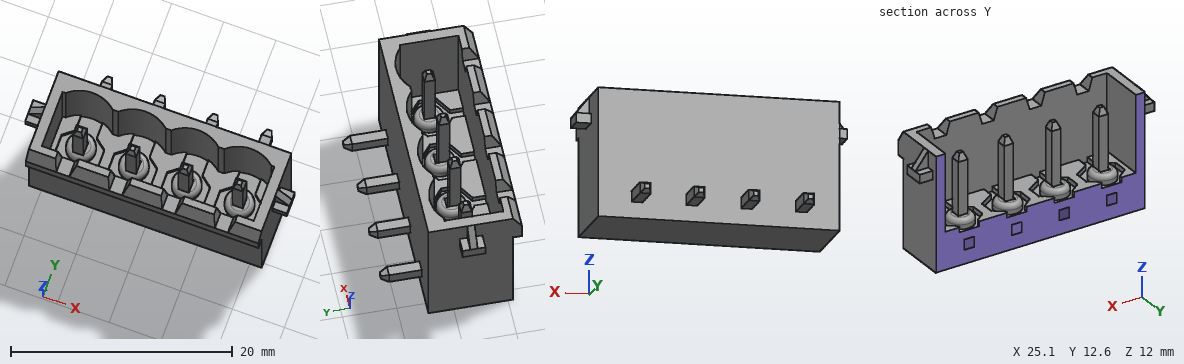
import cadquery as cq


overall_length = 25.12
body_length = 22.35
body_depth = 7.79
body_height = 12.0

lip_reach = 0.83
lip_height = 2.8
lip_bevel_height = 1.28

pin_count = 4
pin_pitch = 5.07
pin_y = -3.85
pin_x_places = [(i - (pin_count - 1) / 2) * pin_pitch for i in range(pin_count)]

side_wall = 1.0
front_wall = 0.68
rear_wall = 1.7
cavity_depth = 8.05
cavity_floor_z = body_height - cavity_depth
cavity_front_y = front_wall - body_depth
scallop_width = 4.52
scallop_rise = 0.85

recess_depth = 0.5
recess_floor_z = cavity_floor_z - recess_depth
recess_half_width = 2.05
recess_rear_half_width = 1.03
recess_front_half_width = 0.45
recess_rear_neck_y = -2.54
recess_rear_shoulder_y = -3.35
recess_front_shoulder_y = -4.9
recess_front_neck_y = -5.9

boss_diameter = 2.75
boss_height = 1.0
boss_round = 0.5

notch_top_width = 2.0
notch_floor_width = 1.23
notch_depth = lip_bevel_height

tab_reach = (overall_length - body_length) / 2
tab_width = 2.1
tab_thickness = 0.9
tab_top_z = body_height - 1.73
rib_width = 0.68
tab_y = -3.92

pin_size = 1.0
pin_tip_size = 0.43
pin_taper = 0.7
pin_top_z = body_height - 1.28
tail_z = 2.0
tail_reach = 4.0
short_pin_shift = 0.3
pin_shifts = [short_pin_shift] * (pin_count - 1) + [0.0]


def make_block():
    """Housing block with the bevelled lip along its front."""
    lip_front_y = -body_depth - lip_reach
    return (
        cq.Workplane("YZ")
        .polyline([
            (0, 0),
            (0, body_height),
            (-body_depth, body_height),
            (lip_front_y, body_height - lip_bevel_height),
            (lip_front_y, body_height - lip_height),
            (-body_depth, body_height - lip_height),
            (-body_depth, 0),
        ])
        .close()
        .extrude(body_length / 2, both=True)
    )


def make_scallop(x, floor_z):
    """Bay around a pin with a round rear wall, reaching forward to the front wall."""
    half = scallop_width / 2
    return (
        cq.Workplane("XY", origin=(x, 0, floor_z))
        .moveTo(-half, cavity_front_y)
        .lineTo(-half, -rear_wall)
        .threePointArc((0, scallop_rise - rear_wall), (half, -rear_wall))
        .lineTo(half, cavity_front_y)
        .close()
        .extrude(body_height - floor_z)
    )


def make_cavity():
    """Main cavity, open at the top, with one scallop behind each pin."""
    half_length = body_length / 2 - side_wall
    cavity = (
        cq.Workplane("XY", origin=(0, 0, cavity_floor_z))
        .moveTo(-half_length, cavity_front_y)
        .lineTo(half_length, cavity_front_y)
        .lineTo(half_length, -rear_wall)
        .lineTo(-half_length, -rear_wall)
        .close()
        .extrude(cavity_depth)
    )
    for x in pin_x_places:
        cavity = cavity.union(make_scallop(x, cavity_floor_z))
    return cavity


def make_recess(x):
    """Keyhole recess, running from the rear scallop to the front wall."""
    right_side = [
        (recess_rear_half_width, 0),
        (recess_rear_half_width, recess_rear_neck_y),
        (recess_half_width, recess_rear_shoulder_y),
        (recess_half_width, recess_front_shoulder_y),
        (recess_front_half_width, recess_front_neck_y),
        (recess_front_half_width, cavity_front_y),
    ]
    left_side = [(-px, py) for px, py in reversed(right_side)]
    keyhole = (
        cq.Workplane("XY", origin=(x, 0, recess_floor_z))
        .polyline(right_side + left_side)
        .close()
        .extrude(recess_depth)
    )
    return keyhole.intersect(make_scallop(x, recess_floor_z))


def make_boss(x):
    """Round boss on the recess floor with a rounded top edge."""
    return (
        cq.Workplane("XY", origin=(x, pin_y, recess_floor_z))
        .circle(boss_diameter / 2)
        .extrude(boss_height)
        .faces(">Z")
        .edges()
        .fillet(boss_round)
    )


def make_notch(x):
    """Tapered notch through the front wall and lip."""
    return (
        cq.Workplane("XZ", origin=(x, cavity_front_y, body_height))
        .polyline([
            (-notch_top_width / 2, 0),
            (-notch_floor_width / 2, -notch_depth),
            (notch_floor_width / 2, -notch_depth),
            (notch_top_width / 2, 0),
        ])
        .close()
        .extrude(front_wall + lip_reach)
    )


def make_tab(side):
    """Side tab with a sloping rib above it; side is -1 or +1 along X."""
    inner_x = side * body_length / 2
    outer_x = inner_x + side * tab_reach
    plate = cq.Workplane("XY").box(tab_reach, tab_width, tab_thickness).translate(
        ((inner_x + outer_x) / 2, tab_y, tab_top_z - tab_thickness / 2)
    )
    rib = (
        cq.Workplane("XZ", origin=(0, tab_y, 0))
        .polyline([(inner_x, body_height), (outer_x, tab_top_z), (inner_x, tab_top_z)])
        .close()
        .extrude(rib_width / 2, both=True)
    )
    return plate.union(rib)


def make_pin_hole(x, shift):
    """Hole for a bent pin; its upright part also leaves the shift free behind the pin."""
    bottom_z = tail_z - pin_size / 2
    upright = cq.Workplane("XY", origin=(x, pin_y - shift / 2, bottom_z)).rect(
        pin_size, pin_size + shift
    ).extrude(body_height - bottom_z)
    tail = cq.Workplane("XZ", origin=(x, 0, tail_z)).rect(pin_size, pin_size).extrude(-pin_y)
    return upright.union(tail)


def make_housing():
    housing = make_block().cut(make_cavity())
    for side in (-1, 1):
        housing = housing.union(make_tab(side))
    for x, shift in zip(pin_x_places, pin_shifts):
        housing = housing.cut(make_recess(x)).cut(make_notch(x))
        housing = housing.union(make_boss(x)).cut(make_pin_hole(x, shift))
    return housing


def make_pin(x, shift):
    """Square pin bent by 90 degrees, with a tapered tip at each end, set forward by shift."""
    y = pin_y - shift
    bottom_z = tail_z - pin_size / 2
    tail_end_y = tail_reach - shift
    upright = (
        cq.Workplane("XY", origin=(x, y, bottom_z))
        .rect(pin_size, pin_size)
        .extrude(pin_top_z - pin_taper - bottom_z)
    )
    top_tip = (
        cq.Workplane("XY", origin=(x, y, pin_top_z - pin_taper))
        .rect(pin_size, pin_size)
        .workplane(offset=pin_taper)
        .rect(pin_tip_size, pin_tip_size)
        .loft()
    )
    tail = (
        cq.Workplane("XZ", origin=(x, tail_end_y - pin_taper, tail_z))
        .rect(pin_size, pin_size)
        .extrude(tail_end_y - pin_taper - y)
    )
    tail_tip = (
        cq.Workplane("XZ", origin=(x, tail_end_y - pin_taper, tail_z))
        .rect(pin_size, pin_size)
        .workplane(offset=-pin_taper)
        .rect(pin_tip_size, pin_tip_size)
        .loft()
    )
    return upright.union(tail).union(top_tip).union(tail_tip)


housing = make_housing()
pins = [make_pin(x, shift) for x, shift in zip(pin_x_places, pin_shifts)]

result = cq.Compound.makeCompound([housing.val(), *[pin.val() for pin in pins]])